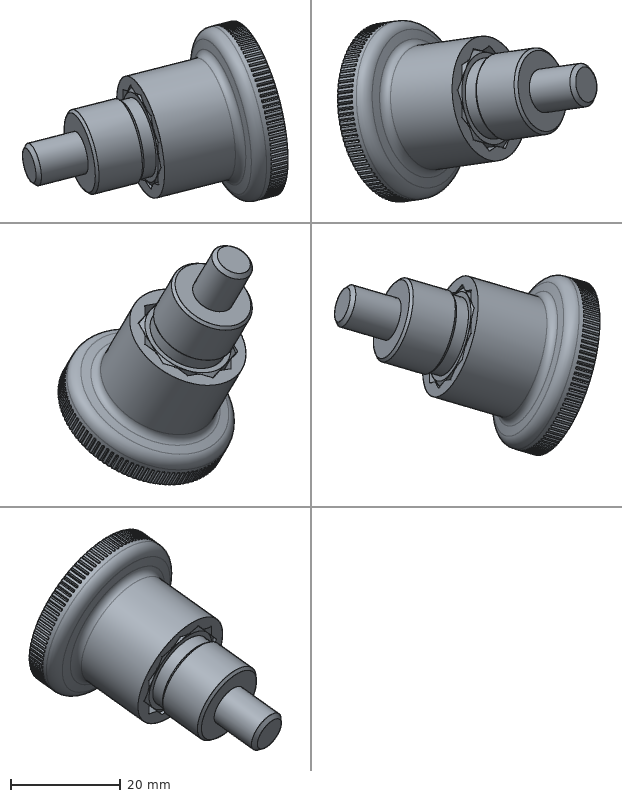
import cadquery as cq
import math


overall_length = 47.4
crown_y = 25.35
crown_height = 2.95
head_radius = 16.5
sleeve_radius = 11.5
sleeve_length = 14.02
underside_angle = math.radians(10.5)
head_round = 2.27
neck_round = 1.55

groove_count = 100
groove_width = 0.5
groove_depth = 0.35
groove_length = 3.3

across_flats = 17.0
socket_depth = 5.0
nut_bevel = math.radians(30)

neck_length = 2.4
bushing_radius = 8.0
bushing_end_y = -12.05
bushing_chamfer = 0.5
pin_radius = 4.05
pin_chamfer = 0.75

corner_radius = across_flats / math.sqrt(3)
rim_top_y = crown_y - crown_height
groove_end_y = rim_top_y - groove_length
neck_radius = bushing_radius - bushing_chamfer
pin_end_y = crown_y - overall_length


def revolve_about_y(profile):
    """Turn a closed profile drawn in the XY plane once around the Y axis."""
    return profile.close().revolve(360, (0, 0, 0), (0, 1, 0))


def hexagonal_prism(turn):
    """Hexagon as deep as the socket; a turn of 0 puts two corners on the X axis."""
    prism = cq.Workplane("XZ").polygon(6, 2 * corner_radius).extrude(-socket_depth)
    return prism.rotate((0, 0, 0), (0, 1, 0), turn)


def knob_blank():
    """Solid of revolution: crown, rim, rounded underside and sleeve."""
    sin_a = math.sin(underside_angle)
    cos_a = math.cos(underside_angle)

    cos_mid = math.cos(math.pi / 4 - underside_angle / 2)
    sin_mid = math.sin(math.pi / 4 - underside_angle / 2)

    neck_center = (sleeve_radius + neck_round, sleeve_length)
    neck_mid = (
        neck_center[0] - neck_round * cos_mid,
        neck_center[1] + neck_round * sin_mid,
    )
    neck_end = (neck_center[0] - neck_round * sin_a, neck_center[1] + neck_round * cos_a)

    round_start_x = head_radius - head_round * (1 - sin_a)
    round_start_y = neck_end[1] + (round_start_x - neck_end[0]) * math.tan(underside_angle)
    round_center = (head_radius - head_round, round_start_y + head_round * cos_a)
    round_mid = (
        round_center[0] + head_round * cos_mid,
        round_center[1] - head_round * sin_mid,
    )

    crown_radius = (head_radius**2 + crown_height**2) / (2 * crown_height)
    crown_mid_x = head_radius / 2
    crown_mid_y = crown_y - crown_radius + math.sqrt(crown_radius**2 - crown_mid_x**2)

    return revolve_about_y(
        cq.Workplane("XY")
        .moveTo(0, 0)
        .lineTo(sleeve_radius, 0)
        .lineTo(sleeve_radius, sleeve_length)
        .threePointArc(neck_mid, neck_end)
        .lineTo(round_start_x, round_start_y)
        .threePointArc(round_mid, (head_radius, round_center[1]))
        .lineTo(head_radius, rim_top_y)
        .threePointArc((crown_mid_x, crown_mid_y), (0, crown_y))
    )


def knurl_grooves():
    """V-shaped cutters along Y, spaced evenly around the rim, one of them at +Z."""
    root_radius = head_radius - groove_depth
    open_radius = head_radius + groove_depth
    cutter = (
        cq.Workplane("XZ", origin=(0, groove_end_y, 0))
        .polyline([(0, root_radius), (groove_width, open_radius), (-groove_width, open_radius)])
        .close()
        .extrude(-(groove_length + crown_height))
        .val()
    )
    pitch_angle = 360 / groove_count
    cutters = [cutter.rotate((0, 0, 0), (0, 1, 0), i * pitch_angle) for i in range(groove_count)]
    return cq.Workplane(cq.Compound.makeCompound(cutters))


def make_knob():
    """Knurled knob with a twelve-point socket in the end of its sleeve."""
    knob = knob_blank().cut(knurl_grooves())
    for turn in (0, 30):
        knob = knob.cut(hexagonal_prism(turn))
    return knob


def hexagon_nut():
    """Hexagon with its corners beveled on the side of the neck."""
    nut = hexagonal_prism(0)
    face_radius = across_flats / 2
    bevel_height = (corner_radius - face_radius) * math.tan(nut_bevel)
    envelope = revolve_about_y(
        cq.Workplane("XY").polyline(
            [
                (0, 0),
                (face_radius, 0),
                (corner_radius, bevel_height),
                (corner_radius, socket_depth),
                (0, socket_depth),
            ]
        )
    )
    return nut.intersect(envelope)


def shank():
    """Turned neck, chamfered bushing and chamfered pin below the nut."""
    return revolve_about_y(
        cq.Workplane("XY").polyline(
            [
                (0, 0),
                (neck_radius, 0),
                (neck_radius, -neck_length),
                (bushing_radius, -neck_length - bushing_chamfer),
                (bushing_radius, bushing_end_y + bushing_chamfer),
                (bushing_radius - bushing_chamfer, bushing_end_y),
                (pin_radius, bushing_end_y),
                (pin_radius, pin_end_y + pin_chamfer),
                (pin_radius - pin_chamfer, pin_end_y),
                (0, pin_end_y),
            ]
        )
    )


def make_plunger():
    """Hexagon nut, bushing and pin in one piece."""
    return hexagon_nut().union(shank())


knob = make_knob()
plunger = make_plunger()
result = cq.Compound.makeCompound([knob.solids().val(), plunger.solids().val()])